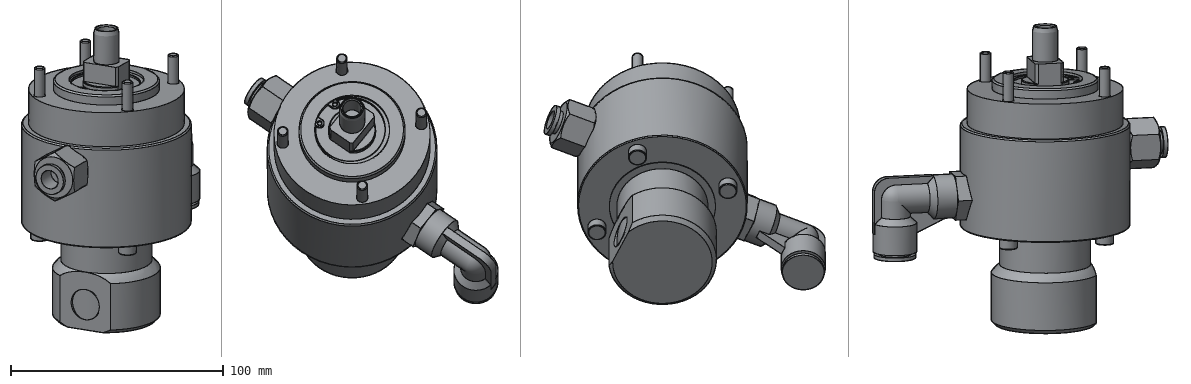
import cadquery as cq
import math

head_top = 28.7
head_shoulder = 24.9
body_bottom = 47.2
body_top = 96.4
cap_top = 113.2
ring_top = 118.0
block_top = 127.0
shaft_top = 143.18

head_radius = 25.45
head_chamfer = 2.0
head_crown_radius = 14.0
neck_radius = 21.5
spigot_radius = 25.0
spigot_height = 0.4
body_radius = 40.0
body_top_chamfer = 0.7
body_bottom_chamfer = 0.5
cap_radius = 36.75
ring_radius = 25.0
ring_chamfer = 0.8

flat_distance = 21.6
port_diameter = 14.95
port_height = 12.55
port_floor_radius = neck_radius

recess_diameter = 35.27
recess_depth = 2.5
clip_depth = 1.2
clip_thickness = 1.0
clip_opening_radius = 16.3
clip_opening_offset = 1.0
lug_x = 6.05
lug_y = -14.6
lug_radius = 2.2
lug_hole_diameter = 2.0
clip_edge_chamfer = 0.2

spindle_radius = 11.15
spindle_chamfer = 0.4
block_corner_radius = 10.85
block_x = 18.72
block_y = 13.75
shelf_height = 117.6
shaft_diameter = 11.98
shaft_chamfer_height = 2.2
shaft_chamfer_width = 0.6
shaft_bore_diameter = 8.5
shaft_bore_depth = 12.0
shaft_bore_chamfer = 0.6

screw_circle_radius = 33.0
screw_count = 4
screw_first_angle = 45.0
screw_diameter = 5.0
screw_hole_diameter = 5.5
screw_hole_depth = 5.0
screw_tip_chamfer = 0.5
screw_head_diameter = 8.5
screw_head_bottom = 42.1
screw_head_chamfer = 0.4

hex_across_flats = 21.0
hex_across_corners = hex_across_flats / math.cos(math.pi / 6)
fitting_root = 35.0

straight_height = 84.7
straight_hex_start = 38.7
straight_hex_end = 53.7
straight_flange_start = 55.8
straight_end = 57.8
straight_neck_diameter = 11.2
straight_flange_diameter = 14.5
straight_bore_diameter = 9.0
straight_bore_depth = 10.0
hex_face_diameter = 20.2
hex_bevel_slope = math.tan(math.radians(30))

elbow_height = 63.6
elbow_extent = 83.12
elbow_collar_diameter = 20.8
elbow_tube_diameter = 14.5
elbow_axis_y = elbow_extent - elbow_collar_diameter / 2
elbow_hex_end = 44.8
elbow_collar_end = 54.4
elbow_cone_length = 3.0
drop_collar_top = 52.1
drop_collar_bottom = 38.3
drop_neck_diameter = 15.5
drop_flange_diameter = 19.75
drop_flange_top = 37.0
drop_bottom = 35.3
web_thickness = 4.0
web_corner_radius = 7.0
web_foot_height = 47.2
web_foot_y = 49.3


def disc(diameter, bottom, top):
    """Upright cylinder on the main axis."""
    return cq.Workplane("XY").workplane(offset=bottom).circle(diameter / 2).extrude(top - bottom)


def y_plane(y, z):
    """Plane at the given Y and Z whose normal points along +Y."""
    return cq.Workplane(cq.Plane(origin=(0, y, z), xDir=(-1, 0, 0), normal=(0, 1, 0)))


def make_turned_body():
    """Head, neck, body, cap and raised ring as one turned profile."""
    spigot_bottom = body_bottom - spigot_height
    profile = (
        cq.Workplane("XZ")
        .lineTo(head_radius - head_chamfer, 0)
        .lineTo(head_radius, head_chamfer)
        .lineTo(head_radius, head_shoulder)
        .radiusArc((neck_radius, head_top), -head_crown_radius)
        .lineTo(neck_radius, spigot_bottom)
        .lineTo(spigot_radius, spigot_bottom)
        .lineTo(spigot_radius, body_bottom)
        .lineTo(body_radius - body_bottom_chamfer, body_bottom)
        .lineTo(body_radius, body_bottom + body_bottom_chamfer)
        .lineTo(body_radius, body_top - body_top_chamfer)
        .lineTo(body_radius - body_top_chamfer, body_top)
        .lineTo(cap_radius, body_top)
        .lineTo(cap_radius, cap_top)
        .lineTo(ring_radius, cap_top)
        .lineTo(ring_radius, ring_top - ring_chamfer)
        .lineTo(ring_radius - ring_chamfer, ring_top)
        .lineTo(0, ring_top)
        .close()
    )
    return profile.revolve(360, (0, 0, 0), (0, 1, 0))


def cut_head_flat_and_port(part):
    """Flat on the -Y side of the head, with a shallow round port whose floor is cylindrical."""
    flat = (
        cq.Workplane("XY")
        .center(0, -flat_distance - head_radius)
        .rect(2 * head_radius, 2 * head_radius)
        .extrude(head_top)
    )
    port = y_plane(-body_radius, port_height).circle(port_diameter / 2).extrude(body_radius)
    port_floor = disc(2 * port_floor_radius, 0, head_top)
    return part.cut(flat).cut(port.cut(port_floor))


def make_retaining_clip():
    """Open clip lying in the recess: eccentric ring with two drilled lugs."""
    top = ring_top - clip_depth
    bottom = top - clip_thickness
    outer = disc(recess_diameter + 4 * clip_edge_chamfer, bottom, top)
    opening = disc(2 * clip_opening_radius, bottom, top).translate((0, -clip_opening_offset, 0))
    gap = (
        cq.Workplane("XY")
        .workplane(offset=bottom)
        .center(0, -recess_diameter / 2)
        .rect(2 * lug_x, recess_diameter)
        .extrude(clip_thickness)
    )
    clip = outer.cut(opening).cut(gap)
    for side in (-1, 1):
        centre = (side * lug_x, lug_y, 0)
        lug = disc(2 * lug_radius, bottom, top).translate(centre)
        lug_foot = (
            cq.Workplane("XY")
            .workplane(offset=bottom)
            .center(side * lug_x, lug_y - lug_radius)
            .rect(2 * lug_radius, 2 * lug_radius)
            .extrude(clip_thickness)
        )
        hole = disc(lug_hole_diameter, bottom, top).translate(centre)
        clip = clip.union(lug.union(lug_foot).intersect(outer)).cut(hole)
    clip = clip.faces(">Z").chamfer(clip_edge_chamfer)
    return clip.intersect(disc(recess_diameter, bottom, top))


def make_spindle():
    """Round spindle with a four-sided block and a hollow shaft above it."""
    floor = ring_top - recess_depth
    base = disc(2 * spindle_radius, floor, shelf_height).faces(">Z").chamfer(spindle_chamfer)
    base_sides = cq.Workplane("XY").rect(block_x, 2 * spindle_radius).extrude(block_top)
    block = disc(2 * block_corner_radius, floor, block_top)
    block_sides = cq.Workplane("XY").rect(block_x, block_y).extrude(block_top)
    spindle = base.intersect(base_sides).union(block.intersect(block_sides))

    radius = shaft_diameter / 2
    shaft_profile = [
        (0, floor),
        (radius, floor),
        (radius, shaft_top - shaft_chamfer_height),
        (radius - shaft_chamfer_width, shaft_top),
        (0, shaft_top),
    ]
    shaft = cq.Workplane("XZ").polyline(shaft_profile).close().revolve(360, (0, 0, 0), (0, 1, 0))
    bore = disc(shaft_bore_diameter, shaft_top - shaft_bore_depth, shaft_top)
    countersink_radius = shaft_bore_diameter / 2 + shaft_bore_chamfer
    countersink = cq.Workplane(
        cq.Solid.makeCone(
            shaft_bore_diameter / 2,
            countersink_radius,
            shaft_bore_chamfer,
            pnt=cq.Vector(0, 0, shaft_top - shaft_bore_chamfer),
        )
    )
    return spindle.union(shaft).cut(bore).cut(countersink)


def add_screws(part):
    """Screws with heads under the body and tips standing out of clearance holes in the cap."""
    for index in range(screw_count):
        angle = math.radians(screw_first_angle + index * 360 / screw_count)
        place = (screw_circle_radius * math.cos(angle), screw_circle_radius * math.sin(angle), 0)
        hole = disc(screw_hole_diameter, cap_top - screw_hole_depth, cap_top)
        pin = disc(screw_diameter, cap_top - screw_hole_depth, block_top)
        pin = pin.faces(">Z").chamfer(screw_tip_chamfer)
        head = disc(screw_head_diameter, screw_head_bottom, body_bottom)
        head = head.faces("<Z").chamfer(screw_head_chamfer)
        part = part.cut(hole.translate(place))
        part = part.union(pin.translate(place)).union(head.translate(place))
    return part


def make_straight_fitting():
    """Hexagon bevelled at both ends, neck, flange and blind bore, pointing along -Y."""
    length = straight_hex_end - straight_hex_start
    hexagon = (
        y_plane(-straight_hex_end, straight_height)
        .polygon(6, hex_across_corners)
        .extrude(length)
        .rotate((0, 0, straight_height), (0, 1, straight_height), 30)
    )
    face_radius = hex_face_diameter / 2
    rim_radius = hex_across_corners / 2
    bevel_depth = (rim_radius - face_radius) * hex_bevel_slope
    bevel_profile = [
        (0, -straight_hex_end),
        (face_radius, -straight_hex_end),
        (rim_radius, bevel_depth - straight_hex_end),
        (rim_radius, -straight_hex_start - bevel_depth),
        (face_radius, -straight_hex_start),
        (0, -straight_hex_start),
    ]
    envelope = cq.Workplane("XY").polyline(bevel_profile).close().revolve(360, (0, 0, 0), (0, 1, 0))
    hexagon = hexagon.intersect(envelope.translate((0, 0, straight_height)))

    neck = y_plane(-straight_end, straight_height).circle(straight_neck_diameter / 2)
    neck = neck.extrude(straight_end - fitting_root)
    flange = y_plane(-straight_end, straight_height).circle(straight_flange_diameter / 2)
    flange = flange.extrude(straight_end - straight_flange_start)
    bore = y_plane(-straight_end, straight_height).circle(straight_bore_diameter / 2)
    bore = bore.extrude(straight_bore_depth)
    return hexagon.union(neck).union(flange).cut(bore)


def make_elbow_fitting():
    """Hexagon, collar and tube along +Y, turning down into a second collar, with a central web."""
    tube_radius = elbow_tube_diameter / 2
    collar_radius = elbow_collar_diameter / 2

    hexagon = y_plane(fitting_root, elbow_height).polygon(6, hex_across_corners)
    hexagon = hexagon.extrude(elbow_hex_end - fitting_root)

    run_profile = [
        (0, fitting_root),
        (collar_radius, fitting_root),
        (collar_radius, elbow_collar_end),
        (tube_radius, elbow_collar_end + elbow_cone_length),
        (tube_radius, elbow_axis_y),
        (0, elbow_axis_y),
    ]
    run = cq.Workplane("XY").polyline(run_profile).close().revolve(360, (0, 0, 0), (0, 1, 0))
    run = run.translate((0, 0, elbow_height))

    drop_profile = [
        (0, drop_bottom),
        (drop_flange_diameter / 2, drop_bottom),
        (drop_flange_diameter / 2, drop_flange_top),
        (drop_neck_diameter / 2, drop_flange_top),
        (drop_neck_diameter / 2, drop_collar_bottom),
        (collar_radius, drop_collar_bottom),
        (collar_radius, drop_collar_top),
        (tube_radius, drop_collar_top + elbow_cone_length),
        (tube_radius, elbow_height),
        (0, elbow_height),
    ]
    drop = cq.Workplane("XZ").polyline(drop_profile).close().revolve(360, (0, 0, 0), (0, 1, 0))
    drop = drop.translate((0, elbow_axis_y, 0))
    knee = cq.Workplane("XY").sphere(tube_radius).translate((0, elbow_axis_y, elbow_height))

    web_top = elbow_height + collar_radius
    web = (
        cq.Workplane("YZ")
        .moveTo(elbow_collar_end, web_top)
        .lineTo(elbow_extent - web_corner_radius, web_top)
        .radiusArc((elbow_extent, web_top - web_corner_radius), web_corner_radius)
        .lineTo(elbow_extent, web_foot_height)
        .lineTo(elbow_axis_y - collar_radius, web_foot_height)
        .lineTo(web_foot_y, elbow_height - collar_radius)
        .lineTo(web_foot_y, elbow_height)
        .lineTo(elbow_collar_end, elbow_height)
        .close()
        .extrude(web_thickness / 2, both=True)
    )
    return hexagon.union(run).union(drop).union(knee).union(web)


main = cut_head_flat_and_port(make_turned_body())
main = main.cut(disc(recess_diameter, ring_top - recess_depth, ring_top))
main = main.union(make_retaining_clip()).union(make_spindle())
main = add_screws(main)
result = main.union(make_straight_fitting()).union(make_elbow_fitting())